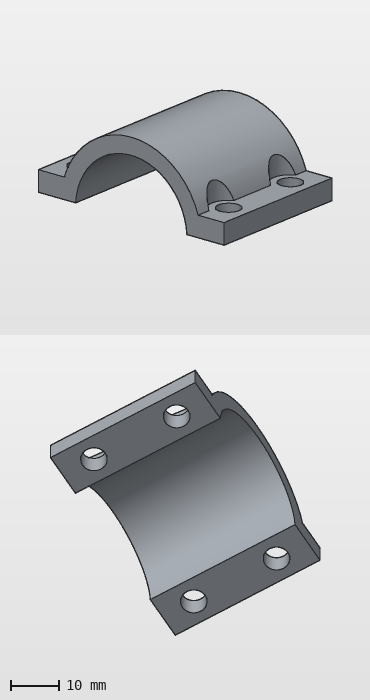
import cadquery as cq

width = 50.05
length = 35.0
flange_thickness = 5.0

bore_radius = 15.0
wall = 4.0
outer_radius = bore_radius + wall
axis_drop = 1.0

hole_diameter = 5.5
head_diameter = 9.0
hole_spacing_x = 40.0
hole_spacing_y = 20.0


def cylinder_along_y(radius):
    """Cylinder on the saddle axis, running the full length of the part."""
    return (
        cq.Workplane("XZ")
        .center(0, -axis_drop)
        .circle(radius)
        .extrude(length / 2, both=True)
    )


def cylinders_at_bolts(diameter, base_z):
    """Vertical cylinders at the four bolt positions, rising past the saddle top."""
    return (
        cq.Workplane("XY")
        .workplane(offset=base_z)
        .rect(hole_spacing_x, hole_spacing_y, forConstruction=True)
        .vertices()
        .circle(diameter / 2)
        .extrude(outer_radius)
    )


flanges = cq.Workplane("XY").box(width, length, flange_thickness, centered=(True, True, False))
upper_half = cq.Workplane("XY").box(width, length, outer_radius, centered=(True, True, False))
saddle = cylinder_along_y(outer_radius).intersect(upper_half)
body = flanges.union(saddle).cut(cylinder_along_y(bore_radius))

result = body.cut(cylinders_at_bolts(head_diameter, flange_thickness))
result = result.cut(cylinders_at_bolts(hole_diameter, 0))